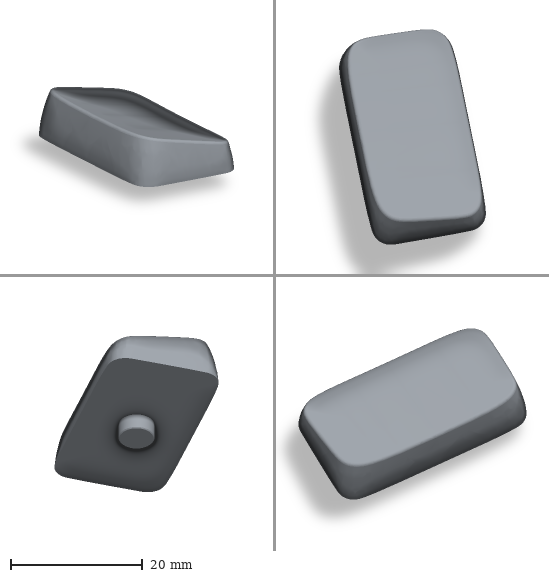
import cadquery as cq
import math

BASE_LENGTH = 32.28
BASE_WIDTH = 18.0
BASE_SQUARENESS = 8.3
HALF_OUTLINE_STEPS = 24

BLANK_HEIGHT = 9.0
END_INSET = 1.6
FRONT_INSET = 1.25
BACK_INSET = 2.1
TOP_SQUARENESS = 4.5

TOP_CENTER_HEIGHT = 5.73
TOP_SLOPE = 0.205
DISH_RADIUS = 370.0
RIM_FILLET = 0.5

STEM_DIAMETER = 5.5
STEM_LENGTH = 2.5
STEM_CHAMFER = 0.15


def skirt_section(height):
    """Closed superellipse; the walls curve inwards as height squared and the corners soften."""
    rise = height / BLANK_HEIGHT
    lean = rise ** 2
    half_length = BASE_LENGTH / 2 - END_INSET * lean
    front = -BASE_WIDTH / 2 + FRONT_INSET * lean
    back = BASE_WIDTH / 2 - BACK_INSET * lean
    middle = (front + back) / 2
    half_width = (back - front) / 2
    exponent = BASE_SQUARENESS + (TOP_SQUARENESS - BASE_SQUARENESS) * rise

    def outline_point(side, step):
        """Point on the half outline, stepping from front centre (0) to back centre."""
        angle = math.pi * (step / HALF_OUTLINE_STEPS - 0.5)
        across = math.cos(angle)
        along = math.sin(angle)
        reach = (across ** exponent + abs(along) ** exponent) ** (-1 / exponent)
        return (side * half_length * reach * across, middle + half_width * reach * along)

    inner_steps = range(1, HALF_OUTLINE_STEPS)
    right_half = [(0, front)] + [outline_point(1, step) for step in inner_steps] + [(0, back)]
    left_half = [(0, back)]
    left_half += [outline_point(-1, step) for step in reversed(inner_steps)]
    left_half.append((0, front))
    return (
        cq.Workplane("XY", origin=(0, 0, height))
        .spline(right_half, tangents=[(1, 0), (-1, 0)])
        .spline(left_half, tangents=[(-1, 0), (1, 0)])
        .wire()
        .val()
    )


def skirt_blank():
    heights = (0, BLANK_HEIGHT / 2, BLANK_HEIGHT)
    return cq.Workplane(cq.Solid.makeLoft([skirt_section(height) for height in heights]))


def dish_cutter():
    """Everything above the dished top, swept along the tilted front-to-back line."""
    reach = BASE_LENGTH
    sag = DISH_RADIUS - math.sqrt(DISH_RADIUS ** 2 - reach ** 2)
    tilted = cq.Plane(
        origin=(0, 0, TOP_CENTER_HEIGHT), xDir=(1, 0, 0), normal=(0, -1, TOP_SLOPE)
    )
    return (
        cq.Workplane(tilted)
        .moveTo(-reach, sag)
        .threePointArc((0, 0), (reach, sag))
        .lineTo(reach, BASE_LENGTH)
        .lineTo(-reach, BASE_LENGTH)
        .close()
        .extrude(BASE_LENGTH, both=True)
    )


def stem():
    return (
        cq.Workplane("XY")
        .circle(STEM_DIAMETER / 2)
        .extrude(-STEM_LENGTH)
        .faces("<Z")
        .chamfer(STEM_CHAMFER)
    )


cap = skirt_blank().cut(dish_cutter())
cap = cap.faces(">Z").edges().fillet(RIM_FILLET)
result = cap.union(stem())